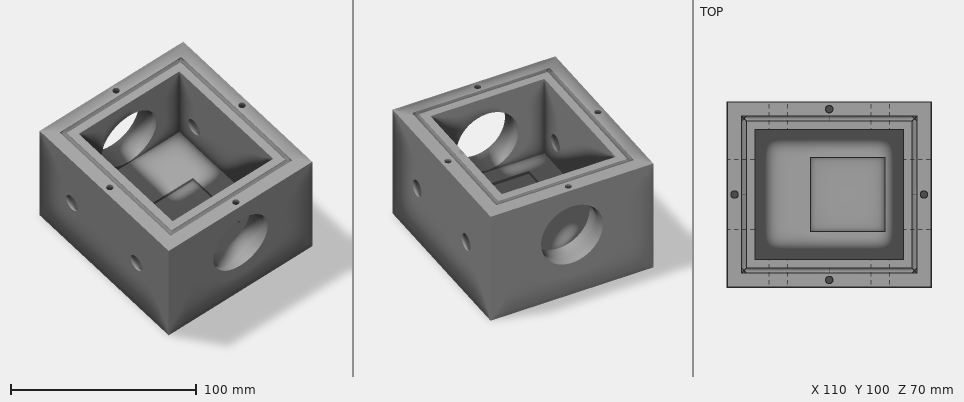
import cadquery as cq

LENGTH = 110.0
WIDTH = 100.0
HEIGHT = 70.0

CAVITY_LENGTH = 80.0
CAVITY_WIDTH = 70.0
CAVITY_DEPTH = 50.0
RECESS_SIDE = 40.0
RECESS_DEPTH = 2.0
RECESS_X = 10.0

GROOVE_RADIUS = 1.3
GROOVE_EDGE_DISTANCE = 9.0

SCREW_DIAMETER = 4.0
SCREW_DEPTH = 10.0
SCREW_EDGE_DISTANCE = 4.0

PORT_DIAMETER = 38.0
PORT_HEIGHT = 40.0
CABLE_HOLE_DIAMETER = 10.0
CABLE_HOLE_SPACING = LENGTH / 2

FLOOR_HEIGHT = HEIGHT - CAVITY_DEPTH


def cut_cavity(body):
    cavity = (
        cq.Workplane("XY", origin=(0, 0, FLOOR_HEIGHT))
        .rect(CAVITY_LENGTH, CAVITY_WIDTH)
        .extrude(CAVITY_DEPTH)
    )
    recess = (
        cq.Workplane("XY", origin=(RECESS_X, 0, FLOOR_HEIGHT - RECESS_DEPTH))
        .rect(RECESS_SIDE, RECESS_SIDE)
        .extrude(RECESS_DEPTH)
    )
    return body.cut(cavity).cut(recess)


def cut_seal_groove(body):
    """Cut four straight half-round runs that cross at the corners, flush with the groove's outer edge."""
    x = LENGTH / 2 - GROOVE_EDGE_DISTANCE
    y = WIDTH / 2 - GROOVE_EDGE_DISTANCE
    for side in (-1, 1):
        run_along_x = (
            cq.Workplane("YZ", origin=(0, side * y, HEIGHT))
            .circle(GROOVE_RADIUS)
            .extrude(x + GROOVE_RADIUS, both=True)
        )
        run_along_y = (
            cq.Workplane("XZ", origin=(side * x, 0, HEIGHT))
            .circle(GROOVE_RADIUS)
            .extrude(y + GROOVE_RADIUS, both=True)
        )
        body = body.cut(run_along_x).cut(run_along_y)
    return body


def cut_screw_holes(body):
    x = LENGTH / 2 - SCREW_EDGE_DISTANCE
    y = WIDTH / 2 - SCREW_EDGE_DISTANCE
    holes = (
        cq.Workplane("XY", origin=(0, 0, HEIGHT))
        .pushPoints([(x, 0), (-x, 0), (0, y), (0, -y)])
        .circle(SCREW_DIAMETER / 2)
        .extrude(-SCREW_DEPTH)
    )
    return body.cut(holes)


def cut_wall_holes(body):
    port = (
        cq.Workplane("YZ", origin=(0, 0, PORT_HEIGHT))
        .circle(PORT_DIAMETER / 2)
        .extrude(LENGTH / 2, both=True)
    )
    cable_holes = (
        cq.Workplane("XZ", origin=(0, 0, HEIGHT / 2))
        .pushPoints([(-CABLE_HOLE_SPACING / 2, 0), (CABLE_HOLE_SPACING / 2, 0)])
        .circle(CABLE_HOLE_DIAMETER / 2)
        .extrude(WIDTH / 2, both=True)
    )
    return body.cut(port).cut(cable_holes)


result = cq.Workplane("XY").box(LENGTH, WIDTH, HEIGHT, centered=(True, True, False))
result = cut_cavity(result)
result = cut_seal_groove(result)
result = cut_screw_holes(result)
result = cut_wall_holes(result)